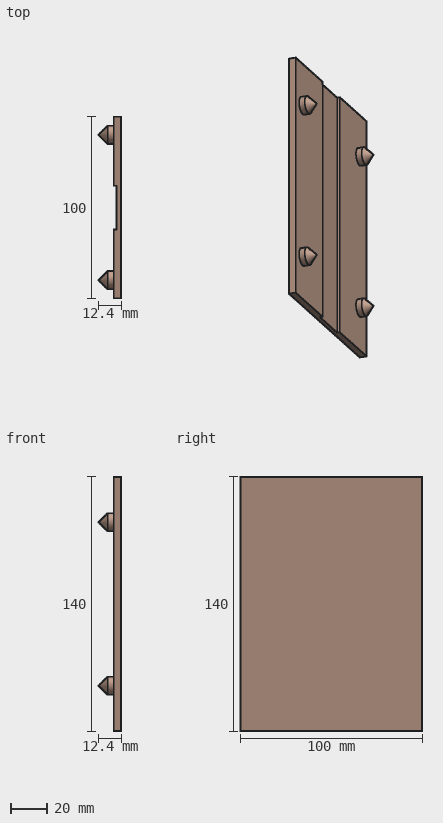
import cadquery as cq

plate_height = 140.0
plate_width = 100.0
plate_thickness = 4.0

channel_width = 24.0
channel_depth = 1.5

pin_radius = 5.0
pin_shank_length = 3.4
pin_tip_length = 5.0
pin_spacing_y = 80.0
pin_spacing_z = 90.0


def make_plate():
    """Plate with its pin face at X = 0 and the channel cut into it."""
    plate = cq.Workplane("XY").box(
        plate_thickness, plate_width, plate_height, centered=(False, True, True)
    )
    channel = cq.Workplane("XY").box(
        channel_depth, channel_width, plate_height, centered=(False, True, True)
    )
    return plate.cut(channel)


def make_pin():
    """Cylindrical shank with a conical tip pointing toward -X."""
    root_x = plate_thickness / 2
    tip_x = -pin_shank_length - pin_tip_length
    return (
        cq.Workplane("XY")
        .moveTo(root_x, 0)
        .lineTo(root_x, pin_radius)
        .lineTo(-pin_shank_length, pin_radius)
        .lineTo(tip_x, 0)
        .close()
        .revolve(360, (0, 0, 0), (1, 0, 0))
    )


result = make_plate()
for side_y in (-1, 1):
    for side_z in (-1, 1):
        pin_position = (0, side_y * pin_spacing_y / 2, side_z * pin_spacing_z / 2)
        result = result.union(make_pin().translate(pin_position))